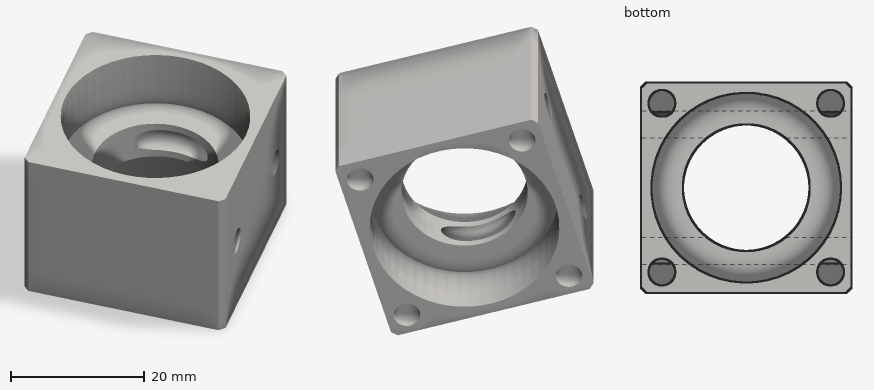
import cadquery as cq

side = 31.62
height = 25.4
corner_chamfer = 0.82

bore_diameter = 18.97
counterbore_diameter = 28.45
web_thickness = 6.42
counterbore_depth = (height - web_thickness) / 2

cross_hole_diameter = 4.0
cross_hole_spacing = bore_diameter

mounting_hole_diameter = 4.0
mounting_hole_spacing = 25.3
mounting_hole_depth = 12.0


def make_block():
    block = cq.Workplane("XY").box(side, side, height)
    return block.edges("|Z").chamfer(corner_chamfer)


def cut_stepped_bore(body):
    for end_face in (">Z", "<Z"):
        body = (
            body.faces(end_face)
            .workplane(centerOption="CenterOfBoundBox")
            .circle(counterbore_diameter / 2)
            .cutBlind(-counterbore_depth)
        )
    bore = (
        cq.Workplane("XY", origin=(0, 0, -height / 2))
        .circle(bore_diameter / 2)
        .extrude(height)
    )
    return body.cut(bore)


def cut_cross_holes(body):
    half_spacing = cross_hole_spacing / 2
    holes = (
        cq.Workplane("YZ", origin=(-side / 2, 0, 0))
        .pushPoints([(-half_spacing, 0), (half_spacing, 0)])
        .circle(cross_hole_diameter / 2)
        .extrude(side)
    )
    return body.cut(holes)


def cut_mounting_holes(body):
    holes = (
        cq.Workplane("XY", origin=(0, 0, -height / 2))
        .rect(mounting_hole_spacing, mounting_hole_spacing, forConstruction=True)
        .vertices()
        .circle(mounting_hole_diameter / 2)
        .extrude(mounting_hole_depth)
    )
    return body.cut(holes)


block = make_block()
bored_block = cut_stepped_bore(block)
cross_drilled_block = cut_cross_holes(bored_block)
result = cut_mounting_holes(cross_drilled_block)